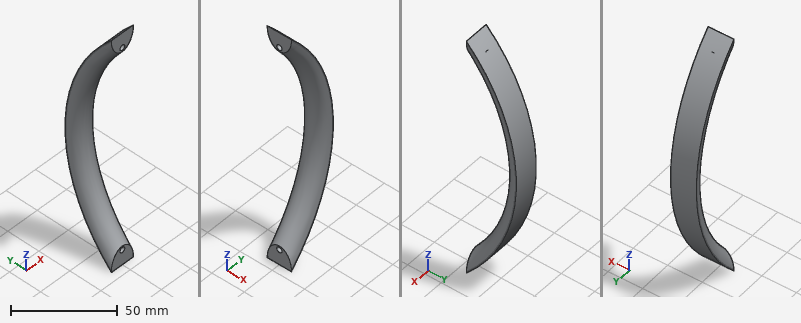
import cadquery as cq

length = 147.0
width = 15.0
bow_height = 30.0
thickness = 8.0
edge_thickness = 0.6

hole_diameter = 3.2
hole_spacing = 128.2
hole_depth = 6.3
cone_depth = 0.9

outer_radius = ((length / 2) ** 2 + bow_height**2) / (2 * bow_height)
center_y = bow_height - outer_radius


def bow():
    """Revolve the D-shaped section about the bow axis and keep the part above the feet."""
    half_width = width / 2
    shoulder = outer_radius - edge_thickness
    ring = (
        cq.Workplane("XY", origin=(0, center_y, 0))
        .moveTo(-half_width, outer_radius)
        .lineTo(half_width, outer_radius)
        .lineTo(half_width, shoulder)
        .ellipseArc(half_width, thickness - edge_thickness, 180, 360, startAtCurrent=True, sense=-1)
        .close()
        .revolve(360, (0, 0, 0), (1, 0, 0))
    )
    keep = cq.Workplane("XY").box(width, bow_height, length, centered=(True, False, True))
    return ring.intersect(keep)


def screw_hole(z):
    """Blind hole drilled square to the foot at height z."""
    hole_radius = hole_diameter / 2
    return (
        cq.Workplane("XY", origin=(0, 0, z))
        .lineTo(hole_radius, 0)
        .lineTo(hole_radius, hole_depth)
        .lineTo(0, hole_depth + cone_depth)
        .close()
        .revolve(360, (0, 0, 0), (0, 1, 0))
    )


result = bow()
for hole_z in (-hole_spacing / 2, hole_spacing / 2):
    result = result.cut(screw_hole(hole_z))